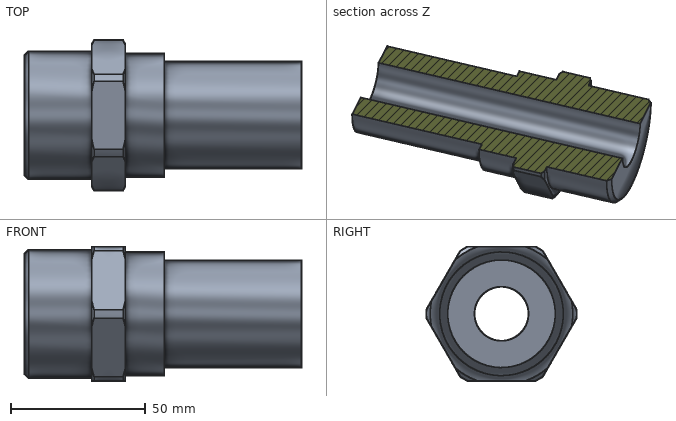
import cadquery as cq
import math

total_length = 103.0
body_length = 25.0
hex_width = 12.5
collar_length = 14.5

bore_diameter = 20.0
body_diameter = 47.8
collar_diameter = 46.0
tube_diameter = 40.0

across_flats = 50.0
hex_corner_diameter = 56.0
hex_chamfer_depth = 1.5
hex_chamfer_angle = 30.0

body_chamfer = 1.5

hex_start = body_length
collar_start = hex_start + hex_width
tube_start = collar_start + collar_length
tube_length = total_length - tube_start
across_corners = across_flats / math.cos(math.radians(30))
hex_chamfer_length = hex_chamfer_depth * math.tan(math.radians(hex_chamfer_angle))


def section_plane(x):
    """Workplane at position x, facing +X, with local x along +Y."""
    return cq.Workplane("YZ", origin=(x, 0, 0))


def cylinder(start, length, diameter):
    """Cylinder on the X axis."""
    return section_plane(start).circle(diameter / 2).extrude(length)


def make_body():
    """Large end with a chamfered entry edge."""
    return cylinder(0, body_length, body_diameter).faces("<X").chamfer(body_chamfer)


def make_hexagon():
    """Wrench hexagon with turned corners and conical chamfers on both sides."""
    prism = section_plane(hex_start).polygon(6, across_corners).extrude(hex_width)
    envelope = (
        cylinder(hex_start, hex_width, hex_corner_diameter)
        .faces("<X or >X")
        .chamfer(hex_chamfer_length, hex_chamfer_depth)
    )
    return prism.intersect(envelope)


def make_bore():
    """Through bore along the whole axis."""
    return cylinder(0, total_length, bore_diameter)


collar = cylinder(collar_start, collar_length, collar_diameter)
tube = cylinder(tube_start, tube_length, tube_diameter)

result = make_body().union(make_hexagon()).union(collar).union(tube).cut(make_bore())